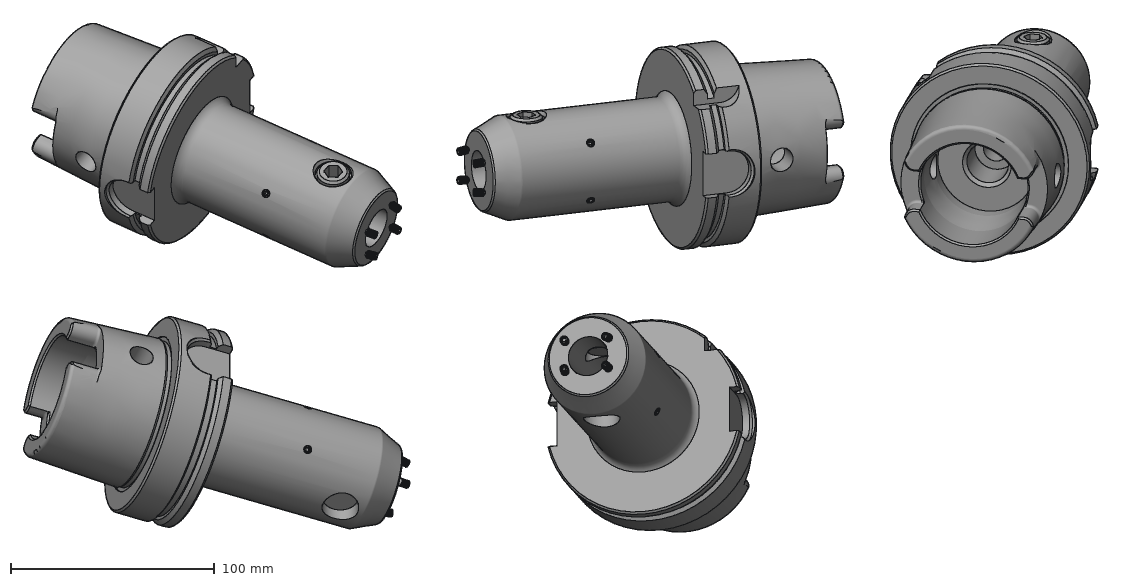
import cadquery as cq
import math


shank_end_x = -50.0
taper_ratio = 9.98
taper_large_radius = 38.0
taper_large_x = -2.3
shank_end_rounding = 2.0
relief_radius = 37.4
relief_slope = 1.0
face_groove_radius = 39.6
face_groove_depth = 0.8
taper_length = taper_large_x - shank_end_x - shank_end_rounding
taper_small_radius = taper_large_radius - taper_length / (2 * taper_ratio)

flange_radius = 50.0
flange_length = 29.0
flange_chamfer = 1.0
groove_floor_radius = 46.2
groove_wall_radius = 47.9
groove_floor_start = 18.2
groove_floor_end = 21.7
groove_rim_start = 17.0
groove_rim_end = 23.6

body_radius = 26.0
neck_radius = 28.6
neck_end_x = 34.2
neck_fillet = ((neck_end_x - flange_length) ** 2 + (neck_radius - body_radius) ** 2) / (
    2 * (neck_radius - body_radius)
)
nose_start_x = 117.1
nose_end_x = 130.0
nose_end_radius = 20.2
nose_angle = math.atan2(body_radius - nose_end_radius, nose_end_x - nose_start_x)
nose_blend = 0.4
nose_chamfer = 0.8

mouth_radius = 26.4
mouth_chamfer = 0.9
mouth_depth = 20.0
cavity_radius = 24.6
cavity_depth = 36.8
cavity_floor_x = -6.0
tube_bore_radius = 10.4
tube_bore_chamfer = 1.8
tube_bore_depth = 21.0
coolant_radius = 6.1
tool_bore_radius = 10.0
tool_bore_depth = 52.0

slot_half_width = 10.0
slot_rounding = 5.0
slot_rim_radius = 36.13
slot_rim_flat = 12.0
slot_inner_y = 15.0
slot_outer_reach = 45.0
slot_floor_fillet = 1.4
slot_mouth_chamfer = 0.9
slot_depths = {-1: 15.2, 1: 10.5}

keyway_half_width = 11.3
keyway_floor_y = 44.0
keyway_tip_x = 5.0
keyway_arc_x = keyway_tip_x + keyway_half_width
keyway_rim_chamfer = 1.1
notch_offset = 31.3
notch_run_out_x = 15.0
notch_run_out_radius = 10.0
cross_hole_x = -15.0
cross_hole_radius = 6.0

clamp_x = nose_end_x - 25.0
clamp_radius = 8.0
clamp_chamfer = 1.2
clamp_hex_width = 8.0
clamp_hex_depth = 8.0
clamp_clearance_radius = 9.0
clamp_clearance_floor_z = 22.0
clamp_rim_radius = 10.1
clamp_rim_angle = math.radians(30)
balance_hole_radius = 9.0
balance_hole_depth = 8.0

small_screw_radius = 2.0
small_screw_core_radius = 1.7
small_screw_pitch = 0.7
small_screw_tip = 0.7
small_screw_ridges = 7
small_screw_length = small_screw_tip + small_screw_ridges * small_screw_pitch
small_screw_hex_width = 2.0
small_screw_hex_depth = 2.0
small_screw_angle = 35.0
seal_screw_x = 79.3
seal_screw_hole_floor = body_radius - small_screw_length
nose_screw_reach = 136.95
nose_screw_tilt = 10.0
nose_screw_circle = 13.25
overrun = 5.0


def revolved_profile():
    """Outside of the holder, revolved about X."""
    start_radius = taper_small_radius - shank_end_rounding
    blend_end_x = nose_start_x + nose_blend * math.cos(nose_angle)
    blend_end_radius = body_radius - nose_blend * math.sin(nose_angle)
    chamfer_radius = nose_end_radius + nose_chamfer * math.tan(nose_angle)
    return (
        cq.Workplane("XY")
        .moveTo(shank_end_x, 0)
        .lineTo(shank_end_x, -start_radius)
        .tangentArcPoint(
            (shank_end_x + shank_end_rounding, -taper_small_radius), relative=False
        )
        .lineTo(taper_large_x, -taper_large_radius)
        .lineTo(taper_large_x + relief_slope, -relief_radius)
        .lineTo(face_groove_depth, -relief_radius)
        .lineTo(face_groove_depth, -face_groove_radius)
        .lineTo(0, -face_groove_radius)
        .lineTo(0, -(flange_radius - flange_chamfer))
        .lineTo(flange_chamfer, -flange_radius)
        .lineTo(groove_rim_start, -flange_radius)
        .lineTo(groove_floor_start, -groove_wall_radius)
        .lineTo(groove_floor_start, -groove_floor_radius)
        .lineTo(groove_floor_end, -groove_floor_radius)
        .lineTo(groove_floor_end, -groove_wall_radius)
        .lineTo(groove_rim_end, -flange_radius)
        .lineTo(flange_length - flange_chamfer, -flange_radius)
        .lineTo(flange_length, -(flange_radius - flange_chamfer))
        .lineTo(flange_length, -neck_radius)
        .radiusArc((neck_end_x, -body_radius), neck_fillet)
        .lineTo(nose_start_x - nose_blend, -body_radius)
        .tangentArcPoint((blend_end_x, -blend_end_radius), relative=False)
        .lineTo(nose_end_x - nose_chamfer, -chamfer_radius)
        .lineTo(nose_end_x, -(chamfer_radius - nose_chamfer))
        .lineTo(nose_end_x, 0)
        .close()
        .revolve(360, (0, 0, 0), (1, 0, 0))
    )


def axial_bores():
    """Stepped hollow along the axis, from the open taper end to the tool bore."""
    tube_chamfer_end_x = cavity_floor_x + tube_bore_chamfer
    tube_end_x = cavity_floor_x + tube_bore_depth
    tool_bore_x = nose_end_x - tool_bore_depth
    return (
        cq.Workplane("XY")
        .moveTo(shank_end_x, 0)
        .lineTo(shank_end_x, -(mouth_radius + mouth_chamfer))
        .lineTo(shank_end_x + mouth_chamfer, -mouth_radius)
        .lineTo(shank_end_x + mouth_depth, -mouth_radius)
        .lineTo(shank_end_x + cavity_depth, -cavity_radius)
        .lineTo(cavity_floor_x, -cavity_radius)
        .lineTo(cavity_floor_x, -(tube_bore_radius + tube_bore_chamfer))
        .lineTo(tube_chamfer_end_x, -tube_bore_radius)
        .lineTo(tube_end_x, -tube_bore_radius)
        .lineTo(tube_end_x, -coolant_radius)
        .lineTo(tool_bore_x, -coolant_radius)
        .lineTo(tool_bore_x, -tool_bore_radius)
        .lineTo(nose_end_x, -tool_bore_radius)
        .lineTo(nose_end_x, 0)
        .close()
        .revolve(360, (0, 0, 0), (1, 0, 0))
    )


def drive_slot_section(side, x):
    """Outline of a drive slot on the +Y or -Y side, in the plane at x.

    Each wall curves outward into a flat that is tangent to the rim circle.
    """
    centre_radius = slot_rim_radius - slot_rounding
    centre_z = slot_half_width + slot_rounding
    rim_angle = math.asin(centre_z / centre_radius)
    centre_y = centre_radius * math.cos(rim_angle)
    arc_end_y = slot_rim_radius * math.cos(rim_angle)
    arc_end_z = slot_rim_radius * math.sin(rim_angle)
    middle_angle = (rim_angle - math.pi / 2) / 2
    arc_middle_y = centre_y + slot_rounding * math.cos(middle_angle)
    arc_middle_z = centre_z + slot_rounding * math.sin(middle_angle)
    flat_end_y = arc_end_y - slot_rim_flat * math.sin(rim_angle)
    flat_end_z = arc_end_z + slot_rim_flat * math.cos(rim_angle)
    return (
        cq.Workplane("YZ", origin=(x, 0, 0))
        .moveTo(side * slot_inner_y, -slot_half_width)
        .lineTo(side * centre_y, -slot_half_width)
        .threePointArc((side * arc_middle_y, -arc_middle_z), (side * arc_end_y, -arc_end_z))
        .lineTo(side * flat_end_y, -flat_end_z)
        .lineTo(side * slot_outer_reach, -flat_end_z)
        .lineTo(side * slot_outer_reach, flat_end_z)
        .lineTo(side * flat_end_y, flat_end_z)
        .lineTo(side * arc_end_y, arc_end_z)
        .threePointArc((side * arc_middle_y, arc_middle_z), (side * centre_y, slot_half_width))
        .lineTo(side * slot_inner_y, slot_half_width)
        .close()
    )


def drive_slot(side):
    """Slot in the taper end, with chamfered edges at its mouth and along the bore at its floor."""
    depth = slot_depths[side]
    slot = (
        drive_slot_section(side, shank_end_x - overrun)
        .extrude(depth + overrun)
        .faces(">X")
        .edges()
        .fillet(slot_floor_fillet)
    )
    mouth = drive_slot_section(side, shank_end_x + slot_mouth_chamfer).extrude(
        -slot_mouth_chamfer, taper=-45
    )
    floor_x = shank_end_x + depth
    bore_edge = cq.Workplane(
        cq.Solid.makeCone(
            mouth_radius + mouth_chamfer,
            mouth_radius,
            mouth_chamfer,
            cq.Vector(floor_x, 0, 0),
            cq.Vector(1, 0, 0),
        )
    )
    slot_span = cq.Workplane().box(
        2 * mouth_chamfer, slot_outer_reach, 2 * slot_half_width, centered=(True, False, True)
    )
    if side < 0:
        slot_span = slot_span.mirror("XZ")
    return slot.union(mouth).union(bore_edge.intersect(slot_span.translate((floor_x, 0, 0))))


def flange_keyway(side):
    """Round-ended keyway cut into the flange rim, with a chamfer along its round end."""
    reach = flange_radius + overrun - keyway_floor_y
    outward = cq.Vector(0, side, 0)
    floor_centre = cq.Vector(keyway_arc_x, side * keyway_floor_y, 0)
    round_end = cq.Workplane(
        cq.Solid.makeCylinder(keyway_half_width, reach, floor_centre, outward)
    )
    straight = cq.Workplane().box(
        flange_length - keyway_arc_x, reach, 2 * keyway_half_width, centered=(False, True, True)
    ).translate((keyway_arc_x, side * (keyway_floor_y + reach / 2), 0))
    rim_y = math.sqrt(flange_radius**2 - keyway_half_width**2) - keyway_rim_chamfer
    rim = cq.Workplane(
        cq.Solid.makeCone(
            keyway_half_width,
            keyway_half_width + keyway_rim_chamfer,
            keyway_rim_chamfer,
            cq.Vector(keyway_arc_x, side * rim_y, 0),
            outward,
        )
    )
    rim_top = cq.Workplane(
        cq.Solid.makeCylinder(
            keyway_half_width + keyway_rim_chamfer,
            reach,
            cq.Vector(keyway_arc_x, side * (rim_y + keyway_rim_chamfer), 0),
            outward,
        )
    )
    return round_end.union(straight).union(rim).union(rim_top)


def index_notch():
    """Square notch across the flange rim between +Y and +Z, with a round run-out."""
    reach = flange_radius - notch_offset
    block = cq.Workplane().box(
        flange_length - notch_run_out_x, reach, reach, centered=False
    ).translate((notch_run_out_x, notch_offset, notch_offset))
    run_out = cq.Workplane(
        cq.Solid.makeCylinder(
            notch_run_out_radius,
            reach,
            cq.Vector(notch_run_out_x, notch_offset, notch_offset + notch_run_out_radius),
            cq.Vector(0, 1, 0),
        )
    )
    return block.union(run_out)


def clamp_hole():
    """Screw hole from the top into the tool bore, with a clearance bore and a conical rim."""
    cone_top_radius = clamp_rim_radius + overrun * math.tan(clamp_rim_angle)
    cone_floor_z = body_radius - (clamp_rim_radius - clamp_clearance_radius) / math.tan(
        clamp_rim_angle
    )
    return (
        cq.Workplane("XZ")
        .moveTo(0, 0)
        .lineTo(clamp_radius, 0)
        .lineTo(clamp_radius, clamp_clearance_floor_z)
        .lineTo(clamp_clearance_radius, clamp_clearance_floor_z)
        .lineTo(clamp_clearance_radius, cone_floor_z)
        .lineTo(cone_top_radius, body_radius + overrun)
        .lineTo(0, body_radius + overrun)
        .close()
        .revolve(360, (0, 0, 0), (0, 1, 0))
        .translate((clamp_x, 0, 0))
    )


def balance_hole():
    """Blind hole opposite the clamping screw."""
    return (
        cq.Workplane("XY", origin=(clamp_x, 0, -body_radius))
        .circle(balance_hole_radius)
        .extrude(balance_hole_depth)
    )


def cross_hole():
    """Hole across the taper, through both walls."""
    return (
        cq.Workplane("XZ", origin=(cross_hole_x, 0, 0))
        .circle(cross_hole_radius)
        .extrude(flange_radius, both=True)
    )


def hex_socket(width, depth, top):
    """Hexagon socket along Z, opening at height top, with its flats facing +X and -X."""
    across_corners = width / math.cos(math.pi / 6)
    return (
        cq.Workplane("XY", origin=(0, 0, top - depth))
        .transformed(rotate=(0, 0, 90))
        .polygon(6, across_corners)
        .extrude(depth)
    )


def make_clamp_screw():
    """Clamping screw, flush with the body and reaching down to the tool bore."""
    return (
        cq.Workplane("XY", origin=(0, 0, tool_bore_radius))
        .circle(clamp_radius)
        .extrude(body_radius - tool_bore_radius)
        .edges()
        .chamfer(clamp_chamfer)
        .cut(hex_socket(clamp_hex_width, clamp_hex_depth, body_radius))
        .translate((clamp_x, 0, 0))
    )


def make_small_screw():
    """Set screw along Z with its tip at z = 0, ringed by thread ridges."""
    thread_depth = small_screw_radius - small_screw_core_radius
    profile = (
        cq.Workplane("XZ")
        .moveTo(0, 0)
        .lineTo(small_screw_core_radius - small_screw_tip, 0)
        .lineTo(small_screw_core_radius, small_screw_tip)
    )
    for ridge in range(small_screw_ridges):
        ridge_z = small_screw_tip + ridge * small_screw_pitch
        profile = (
            profile.lineTo(small_screw_radius, ridge_z + thread_depth)
            .lineTo(small_screw_core_radius, ridge_z + 2 * thread_depth)
            .lineTo(small_screw_core_radius, ridge_z + small_screw_pitch)
        )
    body = (
        profile.lineTo(0, small_screw_length)
        .close()
        .revolve(360, (0, 0, 0), (0, 1, 0))
    )
    return body.cut(hex_socket(small_screw_hex_width, small_screw_hex_depth, small_screw_length))


def around_axis(shape, angle):
    """Turns a shape about the holder axis, from +Z towards the given angle above +Y."""
    return shape.rotate((0, 0, 0), (1, 0, 0), angle - 90)


screw_angles = [
    small_screw_angle,
    180 - small_screw_angle,
    180 + small_screw_angle,
    -small_screw_angle,
]

holder = revolved_profile().cut(axial_bores())
for side in (-1, 1):
    holder = holder.cut(drive_slot(side)).cut(flange_keyway(side))
holder = holder.cut(index_notch()).cut(cross_hole()).cut(clamp_hole()).cut(balance_hole())

clamp_screw = make_clamp_screw()

seal_hole = (
    cq.Workplane("XY", origin=(seal_screw_x, 0, seal_screw_hole_floor))
    .circle(small_screw_radius)
    .extrude(small_screw_length + overrun)
)
seal_screw = make_small_screw().translate((seal_screw_x, 0, seal_screw_hole_floor))
seal_screws = []
for angle in screw_angles:
    holder = holder.cut(around_axis(seal_hole, angle))
    seal_screws.append(around_axis(seal_screw, angle))

nose_screw_centre_x = (
    nose_screw_reach
    - small_screw_length / 2 * math.cos(math.radians(nose_screw_tilt))
    - small_screw_core_radius * math.sin(math.radians(nose_screw_tilt))
)
nose_screw = (
    make_small_screw()
    .translate((0, 0, -small_screw_length / 2))
    .rotate((0, 0, 0), (0, 1, 0), 90 + nose_screw_tilt)
    .translate((nose_screw_centre_x, 0, nose_screw_circle))
)
nose_screws = [around_axis(nose_screw, angle) for angle in screw_angles]

result = cq.Compound.makeCompound(
    [
        holder.val(),
        clamp_screw.val(),
        *[screw.val() for screw in seal_screws],
        *[screw.val() for screw in nose_screws],
    ]
)